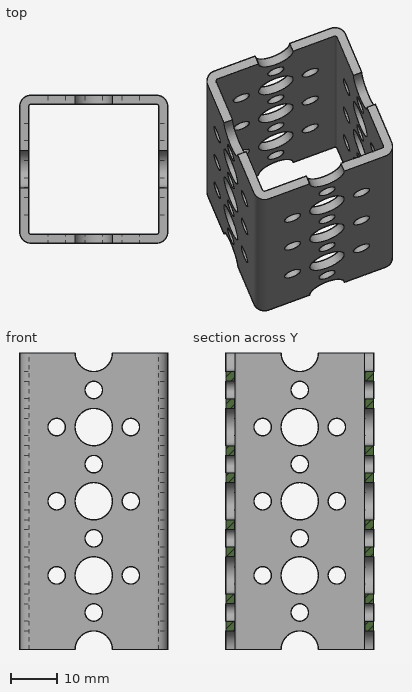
import cadquery as cq

length = 64.0
width = length / 2
wall = 2.0
inner_corner_radius = 0.5
outer_corner_radius = inner_corner_radius + wall

pitch = length / 4
large_hole_diameter = pitch / 2
small_hole_diameter = 3.7
small_hole_offset = pitch / 2

large_hole_heights = [pitch * step for step in (-2, -1, 0, 1, 2)]
side_hole_heights = large_hole_heights[1:-1]
between_hole_heights = [height + small_hole_offset for height in large_hole_heights[:-1]]

large_hole_points = [(0, height) for height in large_hole_heights]
small_hole_points = [(0, height) for height in between_hole_heights]
for height in side_hole_heights:
    small_hole_points.append((-small_hole_offset, height))
    small_hole_points.append((small_hole_offset, height))


def square_bar(side, corner_radius):
    """Solid square bar of full tube length with rounded long edges."""
    return cq.Workplane("XY").box(side, side, length).edges("|Z").fillet(corner_radius)


def through_pins(plane, points, diameter):
    """Round pins crossing the whole tube, normal to the given plane."""
    return cq.Workplane(plane).pushPoints(points).circle(diameter / 2).extrude(width, both=True)


result = square_bar(width, outer_corner_radius).cut(square_bar(width - 2 * wall, inner_corner_radius))

for plane in ("XZ", "YZ"):
    result = result.cut(through_pins(plane, large_hole_points, large_hole_diameter))
    result = result.cut(through_pins(plane, small_hole_points, small_hole_diameter))